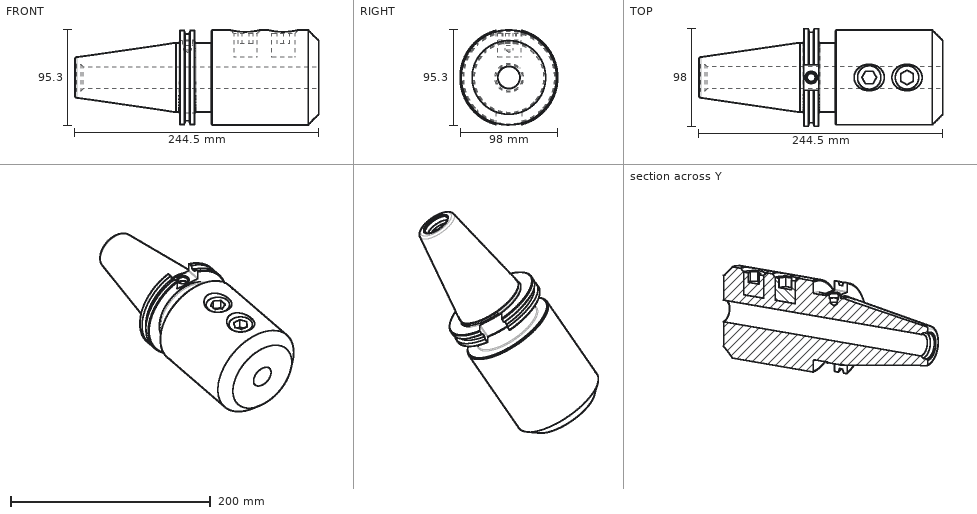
import cadquery as cq
import math


TOTAL_LENGTH = 244.5
TAPER_LENGTH = 101.0
COLLAR_START = 101.7
FLANGE_START = 104.9
FLANGE_END = 120.3
BODY_START = 136.7

GAUGE_DIA = 70.0
NECK_DIA = 69.5
FLANGE_DIA = 98.0
BODY_DIA = 95.3
TAPER_RATIO = 7 / 24
TAPER_SMALL_DIA = GAUGE_DIA - TAPER_RATIO * TAPER_LENGTH

SHANK_END_RADIUS = 2.5
FLANGE_CHAMFER = 0.7
NECK_FILLET = 1.0
FILLET_ARC_INSET = NECK_FILLET * (1 - math.sqrt(0.5))
BODY_REAR_CHAMFER = 1.2
BODY_NOSE_CHAMFER = 10.8

FLANGE_MIDDLE = (FLANGE_START + FLANGE_END) / 2
GROOVE_DIA = 91.0
GROOVE_TOP_WIDTH = 6.4
GROOVE_FLOOR_WIDTH = 3.7

SLOT_WIDTH = 26.0
SLOT_CORNER_RADIUS = 0.7
UPPER_SLOT_FLOOR = 37.6
LOWER_SLOT_FLOOR = 35.2

SLOT_HOLE_MOUTH_DIA = 12.2
SLOT_HOLE_DIA = 10.0
SLOT_HOLE_CORE_DIA = 8.0
SLOT_HOLE_UPPER_DEPTH = 5.5
SLOT_HOLE_DEPTH = 9.8
DRILL_POINT_ANGLE = 118.0

BORE_DIA = 22.0
COUNTERBORE_DIA = 26.5
COUNTERBORE_DEPTH = 5.9
BORE_MOUTH_DIA = 28.8

SCREW_DIA = 23.5
SCREW_LENGTH = 23.5
SCREW_TOP = 44.2
SCREW_SPACING = 38.0
FRONT_SCREW_X = 208.5
SOCKET_FLATS = 12.7
SOCKET_DEPTH = 9.8
SCREWS = [(FRONT_SCREW_X - SCREW_SPACING, 0.0), (FRONT_SCREW_X, 90.0)]


def revolve_about_x(profile):
    return profile.revolve(360, (0, 0, 0), (1, 0, 0))


def revolve_about_z(profile):
    return profile.revolve(360, (0, 0, 0), (0, 1, 0))


def make_shank():
    """Tapered shank with a rounded small end and the short collar that meets the flange in a fillet."""
    collar = NECK_DIA / 2
    shank = revolve_about_x(
        cq.Workplane("XY")
        .moveTo(0, 0)
        .lineTo(0, TAPER_SMALL_DIA / 2)
        .lineTo(TAPER_LENGTH, GAUGE_DIA / 2)
        .lineTo(COLLAR_START, collar)
        .lineTo(FLANGE_START - NECK_FILLET, collar)
        .threePointArc(
            (FLANGE_START - FILLET_ARC_INSET, collar + FILLET_ARC_INSET),
            (FLANGE_START, collar + NECK_FILLET),
        )
        .lineTo(FLANGE_START, 0)
        .close()
    )
    return shank.faces("<X").edges().fillet(SHANK_END_RADIUS)


def make_flange():
    """Flange disc with chamfered rims and a groove with sloping walls."""
    rim = FLANGE_DIA / 2
    disc = cq.Workplane("YZ", origin=(FLANGE_START, 0, 0)).circle(rim).extrude(FLANGE_END - FLANGE_START)
    disc = disc.edges().chamfer(FLANGE_CHAMFER)
    groove = revolve_about_x(
        cq.Workplane("XY")
        .moveTo(FLANGE_MIDDLE - GROOVE_TOP_WIDTH / 2, rim)
        .lineTo(FLANGE_MIDDLE - GROOVE_FLOOR_WIDTH / 2, GROOVE_DIA / 2)
        .lineTo(FLANGE_MIDDLE + GROOVE_FLOOR_WIDTH / 2, GROOVE_DIA / 2)
        .lineTo(FLANGE_MIDDLE + GROOVE_TOP_WIDTH / 2, rim)
        .close()
    )
    return disc.cut(groove)


def make_drive_slot(floor, side):
    """Cutter for one drive slot; side is +1 for the upper slot and -1 for the lower one."""
    height = FLANGE_DIA / 2 - floor
    slot = cq.Workplane("XY").box(FLANGE_END - FLANGE_START, SLOT_WIDTH, height)
    floor_face = "<Z" if side > 0 else ">Z"
    slot = slot.faces(floor_face).edges("|X").fillet(SLOT_CORNER_RADIUS)
    return slot.translate((FLANGE_MIDDLE, 0, side * (floor + height / 2)))


def make_slot_hole():
    """Cutter for the stepped blind hole with a countersunk mouth and a drill point."""
    mouth = SLOT_HOLE_MOUTH_DIA / 2
    upper = SLOT_HOLE_DIA / 2
    core = SLOT_HOLE_CORE_DIA / 2
    point_height = core / math.tan(math.radians(DRILL_POINT_ANGLE / 2))
    hole = revolve_about_z(
        cq.Workplane("XZ")
        .moveTo(0, 0)
        .lineTo(mouth, 0)
        .lineTo(upper, upper - mouth)
        .lineTo(upper, -SLOT_HOLE_UPPER_DEPTH)
        .lineTo(core, -SLOT_HOLE_UPPER_DEPTH)
        .lineTo(core, -SLOT_HOLE_DEPTH)
        .lineTo(0, -SLOT_HOLE_DEPTH - point_height)
        .close()
    )
    return hole.translate((FLANGE_MIDDLE, 0, UPPER_SLOT_FLOOR))


def make_neck_and_body():
    """Neck with small fillets at both ends, and the thick body with both rims chamfered."""
    neck = NECK_DIA / 2
    body = BODY_DIA / 2
    return revolve_about_x(
        cq.Workplane("XY")
        .moveTo(FLANGE_END, 0)
        .lineTo(FLANGE_END, neck + NECK_FILLET)
        .threePointArc(
            (FLANGE_END + FILLET_ARC_INSET, neck + FILLET_ARC_INSET),
            (FLANGE_END + NECK_FILLET, neck),
        )
        .lineTo(BODY_START - NECK_FILLET, neck)
        .threePointArc(
            (BODY_START - FILLET_ARC_INSET, neck + FILLET_ARC_INSET),
            (BODY_START, neck + NECK_FILLET),
        )
        .lineTo(BODY_START, body - BODY_REAR_CHAMFER)
        .lineTo(BODY_START + BODY_REAR_CHAMFER, body)
        .lineTo(TOTAL_LENGTH - BODY_NOSE_CHAMFER, body)
        .lineTo(TOTAL_LENGTH, body - BODY_NOSE_CHAMFER)
        .lineTo(TOTAL_LENGTH, 0)
        .close()
    )


def make_bore():
    """Cutter for the through bore, its counterbore at the small end and both tapered transitions."""
    bore = BORE_DIA / 2
    counterbore = COUNTERBORE_DIA / 2
    mouth = BORE_MOUTH_DIA / 2
    return revolve_about_x(
        cq.Workplane("XY")
        .moveTo(0, 0)
        .lineTo(0, mouth)
        .lineTo(mouth - counterbore, counterbore)
        .lineTo(COUNTERBORE_DEPTH, counterbore)
        .lineTo(COUNTERBORE_DEPTH + counterbore - bore, bore)
        .lineTo(TOTAL_LENGTH, bore)
        .lineTo(TOTAL_LENGTH, 0)
        .close()
    )


def make_screw_hole(x):
    """Cutter for a screw hole: a blind hole under a 45-degree countersink."""
    radius = SCREW_DIA / 2
    countersink_height = BODY_DIA / 2 - SCREW_TOP
    hole = revolve_about_z(
        cq.Workplane("XZ")
        .moveTo(0, SCREW_TOP - SCREW_LENGTH)
        .lineTo(radius, SCREW_TOP - SCREW_LENGTH)
        .lineTo(radius, SCREW_TOP)
        .lineTo(radius + countersink_height, BODY_DIA / 2)
        .lineTo(0, BODY_DIA / 2)
        .close()
    )
    return hole.translate((x, 0, 0))


def make_holder():
    flange = make_flange()
    flange = flange.cut(make_drive_slot(UPPER_SLOT_FLOOR, 1))
    flange = flange.cut(make_drive_slot(LOWER_SLOT_FLOOR, -1))
    blank = make_shank().union(flange).union(make_neck_and_body())
    blank = blank.cut(make_slot_hole()).cut(make_bore())
    for x, _ in SCREWS:
        blank = blank.cut(make_screw_hole(x))
    return blank


def make_set_screw(x, socket_turn):
    """Headless screw with a hexagon socket in its top face."""
    socket_corner_dia = SOCKET_FLATS / math.cos(math.radians(30))
    screw = cq.Workplane("XY").circle(SCREW_DIA / 2).extrude(-SCREW_LENGTH)
    socket = cq.Workplane("XY").polygon(6, socket_corner_dia).extrude(-SOCKET_DEPTH)
    socket = socket.rotate((0, 0, 0), (0, 0, 1), socket_turn)
    return screw.cut(socket).translate((x, 0, SCREW_TOP))


holder = make_holder()
set_screws = [make_set_screw(x, socket_turn) for x, socket_turn in SCREWS]

result = cq.Compound.makeCompound([holder.val(), *[screw.val() for screw in set_screws]])